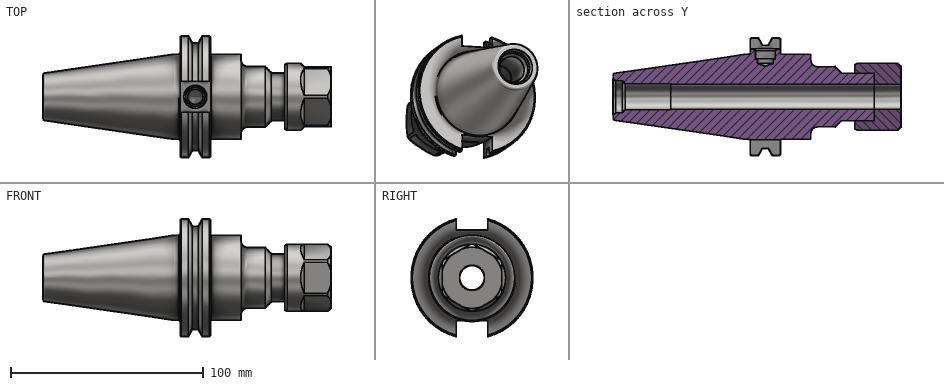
import cadquery as cq
import math


total_length = 150.05

gauge_dia = 44.45
taper_length = 68.25
taper_ratio = 7 / 24
small_end_dia = gauge_dia - taper_length * taper_ratio
small_end_round = 1.3

flange_dia = 63.5
flange_start = 3.175
flange_width = 15.875
flange_end = flange_start + flange_width
flange_center = flange_start + flange_width / 2
flange_chamfer = 0.7
flange_root_fillet_back = 0.6
flange_root_fillet_front = 0.4
groove_dia = 56.3
groove_floor_width = 3.1
groove_wall_angle = 30.0

slot_width = 16.26
top_slot_height = 25.0
bottom_slot_height = 22.4

dimple_x = flange_center
dimple_mouth_dia = 12.0
dimple_bore_dia = 10.13
dimple_drill_dia = 8.0
dimple_mouth_depth = 1.0
dimple_bore_depth = 5.2
dimple_drill_depth = 7.5
drill_point_angle = 140.0

body_dia = gauge_dia
body_end = 35.0
body_edge_round = 0.8
collar_dia = 31.75
collar_root_fillet = 3.1
collar_end = 47.4
neck_dia = 25.0

nut_dia = 35.0
nut_start = 57.55
nut_end = total_length - taper_length
nut_back_chamfer_length = 1.35
nut_back_chamfer_depth = 0.8
nut_front_chamfer_length = 1.8
nut_front_chamfer_depth = 1.6
hex_across_flats = 31.1
hex_sides = 6
hex_length = 13.9

nose_end = nut_end - hex_length

bore_dia = 12.75
entry_mouth_dia = 18.5
entry_seat_dia = 16.46
entry_thread_dia = 13.39
entry_mouth_depth = 1.5
entry_seat_depth = 4.75
entry_thread_start = 6.4
entry_thread_end = 30.0


def revolve_about_x(profile):
    """Turn a closed (x, radius) profile around the X axis."""
    return profile.close().revolve(360, (0, 0, 0), (1, 0, 0))


def cylinder_along_x(dia, start, end):
    return cq.Workplane("YZ", origin=(start, 0, 0)).circle(dia / 2).extrude(end - start)


def shank_and_body():
    """Taper, plain flange disc, stepped body and nose as one turned piece."""
    back_root_radius = gauge_dia / 2 + flange_root_fillet_back
    front_root_radius = body_dia / 2 + flange_root_fillet_front
    collar_cone_length = (collar_dia - neck_dia) / 2
    mid = 1 - math.sqrt(0.5)

    def root_fillet_middle(corner_x, corner_radius, size, direction):
        return (corner_x + direction * mid * size, corner_radius + mid * size)

    profile = (
        cq.Workplane("XY")
        .moveTo(-taper_length, 0)
        .lineTo(-taper_length, small_end_dia / 2)
        .lineTo(0, gauge_dia / 2)
        .lineTo(flange_start - flange_root_fillet_back, gauge_dia / 2)
        .threePointArc(
            root_fillet_middle(flange_start, gauge_dia / 2, flange_root_fillet_back, -1),
            (flange_start, back_root_radius),
        )
        .lineTo(flange_start, flange_dia / 2 - flange_chamfer)
        .lineTo(flange_start + flange_chamfer, flange_dia / 2)
        .lineTo(flange_end - flange_chamfer, flange_dia / 2)
        .lineTo(flange_end, flange_dia / 2 - flange_chamfer)
        .lineTo(flange_end, front_root_radius)
        .threePointArc(
            root_fillet_middle(flange_end, body_dia / 2, flange_root_fillet_front, 1),
            (flange_end + flange_root_fillet_front, body_dia / 2),
        )
        .lineTo(body_end - body_edge_round, body_dia / 2)
        .threePointArc(
            (body_end - mid * body_edge_round, body_dia / 2 - mid * body_edge_round),
            (body_end, body_dia / 2 - body_edge_round),
        )
        .lineTo(body_end, collar_dia / 2 + collar_root_fillet)
        .threePointArc(
            root_fillet_middle(body_end, collar_dia / 2, collar_root_fillet, 1),
            (body_end + collar_root_fillet, collar_dia / 2),
        )
        .lineTo(collar_end, collar_dia / 2)
        .lineTo(collar_end + collar_cone_length, neck_dia / 2)
        .lineTo(nose_end, neck_dia / 2)
        .lineTo(nose_end, 0)
    )
    return revolve_about_x(profile).faces("<X").edges().fillet(small_end_round)


def flange_groove():
    """Ring with a V section that forms the gripper groove."""
    depth = (flange_dia - groove_dia) / 2
    half_floor = groove_floor_width / 2
    half_mouth = half_floor + depth * math.tan(math.radians(groove_wall_angle))
    profile = (
        cq.Workplane("XY")
        .moveTo(flange_center - half_floor, groove_dia / 2)
        .lineTo(flange_center - half_mouth, flange_dia / 2)
        .lineTo(flange_center + half_mouth, flange_dia / 2)
        .lineTo(flange_center + half_floor, groove_dia / 2)
    )
    return revolve_about_x(profile)


def drive_slot(floor_height, side):
    """Block that cuts one drive slot; side is +1 for the top and -1 for the bottom."""
    height = flange_dia / 2 - floor_height
    center = (flange_center, 0, side * (floor_height + height / 2))
    return cq.Workplane("XY", origin=center).box(flange_width, slot_width, height)


def slot_dimple():
    """Countersunk, stepped blind hole with a drill point, going down from the top slot."""
    point_depth = dimple_drill_dia / 2 / math.tan(math.radians(drill_point_angle / 2))
    bore_floor = top_slot_height - dimple_bore_depth
    drill_floor = top_slot_height - dimple_drill_depth
    return (
        cq.Workplane("XZ", origin=(dimple_x, 0, 0))
        .moveTo(0, top_slot_height)
        .lineTo(dimple_mouth_dia / 2, top_slot_height)
        .lineTo(dimple_bore_dia / 2, top_slot_height - dimple_mouth_depth)
        .lineTo(dimple_bore_dia / 2, bore_floor)
        .lineTo(dimple_drill_dia / 2, bore_floor)
        .lineTo(dimple_drill_dia / 2, drill_floor)
        .lineTo(0, drill_floor - point_depth)
        .close()
        .revolve(360, (0, 0, 0), (0, 1, 0))
    )


def holder_bore():
    """Through bore with the stepped entry at the small end of the taper."""
    profile = (
        cq.Workplane("XY")
        .moveTo(-taper_length, 0)
        .lineTo(-taper_length, entry_mouth_dia / 2)
        .lineTo(-taper_length + entry_mouth_depth, entry_seat_dia / 2)
        .lineTo(-taper_length + entry_seat_depth, entry_seat_dia / 2)
        .lineTo(-taper_length + entry_thread_start, entry_thread_dia / 2)
        .lineTo(-taper_length + entry_thread_end, entry_thread_dia / 2)
        .lineTo(-taper_length + entry_thread_end, bore_dia / 2)
        .lineTo(nose_end, bore_dia / 2)
        .lineTo(nose_end, 0)
    )
    return revolve_about_x(profile)


def make_holder():
    return (
        shank_and_body()
        .cut(flange_groove())
        .cut(drive_slot(top_slot_height, 1))
        .cut(drive_slot(bottom_slot_height, -1))
        .cut(slot_dimple())
        .cut(holder_bore())
    )


def hex_flat_cutter(angle):
    """Wedge that cuts one wrench flat with a 45 degree run-out at its back end."""
    flat_radius = hex_across_flats / 2
    cut_depth = nut_dia / 2 - flat_radius
    flat_start = nut_end - hex_length
    return (
        cq.Workplane("XZ")
        .moveTo(flat_start, flat_radius)
        .lineTo(flat_start - cut_depth, flat_radius + cut_depth)
        .lineTo(nut_end, flat_radius + cut_depth)
        .lineTo(nut_end, flat_radius)
        .close()
        .extrude(nut_dia / 2, both=True)
        .rotate((0, 0, 0), (1, 0, 0), angle)
    )


def make_nut():
    """Round nut with a chamfered back, six wrench flats and a chamfered front."""
    profile = (
        cq.Workplane("XY")
        .moveTo(nut_start, 0)
        .lineTo(nut_start, nut_dia / 2 - nut_back_chamfer_depth)
        .lineTo(nut_start + nut_back_chamfer_length, nut_dia / 2)
        .lineTo(nut_end - nut_front_chamfer_length, nut_dia / 2)
        .lineTo(nut_end, nut_dia / 2 - nut_front_chamfer_depth)
        .lineTo(nut_end, 0)
    )
    nut = revolve_about_x(profile)
    for side in range(hex_sides):
        nut = nut.cut(hex_flat_cutter(90 + side * 360 / hex_sides))
    return (
        nut
        .cut(cylinder_along_x(neck_dia, nut_start, nose_end))
        .cut(cylinder_along_x(bore_dia, nose_end, nut_end))
    )


holder = make_holder()
nut = make_nut()

result = cq.Compound.makeCompound([holder.val(), nut.val()])